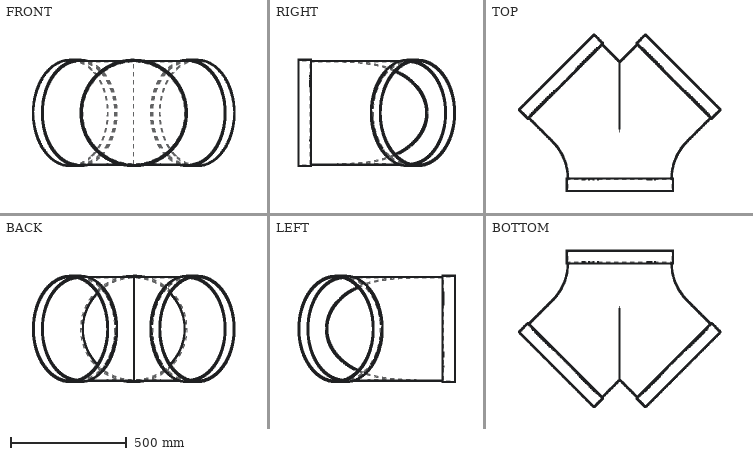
import cadquery as cq
import math

overall_width = 872
pipe_diameter = 450.0
bore_diameter = 440.0
collar_diameter = 460.0
collar_length = 55.0
bend_angle = 45
bend_radius = pipe_diameter
wall = (pipe_diameter - bore_diameter) / 2
socket_depth = collar_length - wall

sine = math.sin(math.radians(bend_angle))
cosine = math.cos(math.radians(bend_angle))
bend_end_x = -bend_radius * (1 - cosine)
bend_end_y = collar_length + bend_radius * sine

mouth_x = -overall_width / 2 + collar_diameter / 2 * cosine
branch_length = (bend_end_x - mouth_x) / sine

inlet_mouth = cq.Plane(origin=(0, 0, 0), xDir=(1, 0, 0), normal=(0, 1, 0))
bend_start = cq.Plane(origin=(0, collar_length, 0), xDir=(1, 0, 0), normal=(0, 1, 0))
bend_end = cq.Plane(origin=(bend_end_x, bend_end_y, 0), xDir=(0, 0, 1), normal=(-sine, cosine, 0))
branch_mouth = cq.Plane(
    origin=(mouth_x, bend_end_y + branch_length * cosine, 0),
    xDir=(0, 0, 1),
    normal=(sine, -cosine, 0),
)


def cylinder(plane, diameter, length):
    """Cylinder standing on a plane, along its normal."""
    return cq.Workplane(plane).circle(diameter / 2).extrude(length)


def left_leg(diameter):
    """Solid bend followed by the straight pipe of the left branch."""
    bend = (
        cq.Workplane(bend_start)
        .circle(diameter / 2)
        .revolve(bend_angle, (-bend_radius, 0, 0), (-bend_radius, -1, 0))
    )
    return bend.union(cylinder(bend_end, diameter, branch_length))


def both_sides(left):
    """Add the mirror image across the YZ plane."""
    return left.union(left.mirror("YZ"))


left_collar = cylinder(branch_mouth, collar_diameter, collar_length)
inlet_collar = cylinder(inlet_mouth, collar_diameter, collar_length)
body = both_sides(left_leg(pipe_diameter).union(left_collar)).union(inlet_collar)

passage = both_sides(left_leg(bore_diameter))

branch_sockets = both_sides(cylinder(branch_mouth, pipe_diameter, socket_depth))
inlet_socket = cylinder(inlet_mouth, pipe_diameter, socket_depth)

result = body.cut(passage).cut(branch_sockets).cut(inlet_socket)